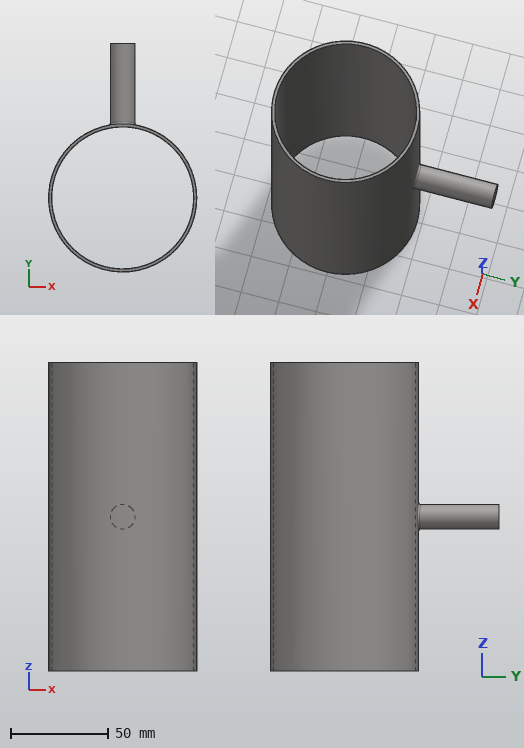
import cadquery as cq

tube_diameter = 76.2
tube_height = 158.75
wall_thickness = 1.65

stem_diameter = 12.7
stem_reach = 79.375
root_fillet = 1.0

tube_radius = tube_diameter / 2
bore_radius = tube_radius - wall_thickness
stem_radius = stem_diameter / 2
stem_height = tube_height / 2


def upright_cylinder(radius):
    return cq.Workplane("XY").circle(radius).extrude(tube_height)


def side_stem():
    return (
        cq.Workplane("XZ")
        .center(0, stem_height)
        .circle(stem_radius)
        .extrude(-stem_reach)
    )


def fillet_stem_root(body):
    return body.edges("not (%LINE or %CIRCLE)").fillet(root_fillet)


outer_body = upright_cylinder(tube_radius).union(side_stem())
result = fillet_stem_root(outer_body).cut(upright_cylinder(bore_radius))